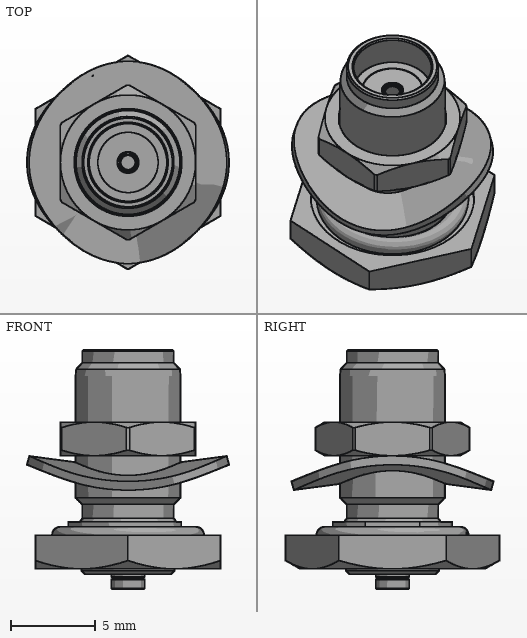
import math

import cadquery as cq

FLANGE_HALF_FLATS = 5.5
NUT_HALF_FLATS = 4.0
HEX_CHAMFER_ANGLE = 30
HEX_SIDES = 6
HEX_HALF_SECTOR = 180 / HEX_SIDES
HEX_HEIGHT = 2.0

BARREL_RADIUS = 3.12
NECK_RADIUS = 2.73
STEP_RADIUS = 3.55
BOSS_RADIUS = 2.77
PIN_RADIUS = 1.01
PIN_GROOVE_RADIUS = 0.94
BORE_RADIUS = 2.3
INSULATOR_RADIUS = 1.79
CONTACT_RADIUS = 0.64
SOCKET_RADIUS = 0.43

TOP_Z = 14.2
LIP_SHOULDER_Z = 13.42
BARREL_TOP_Z = 12.64
BARREL_BOTTOM_Z = 5.42
STEP_TOP_Z = 3.99
FLANGE_TOP_Z = 3.21
FLANGE_BOTTOM_Z = FLANGE_TOP_Z - HEX_HEIGHT
BOSS_BOTTOM_Z = 0.88
PIN_GROOVE_Z = 0.65
BORE_FLOOR_Z = 12.27

LIP_CHAMFER = 0.1
BORE_CHAMFER = 0.09
BARREL_TAPER = 0.04
SHOULDER_HEIGHT = 0.37
NECK_FLARE_WIDTH = 0.14
NECK_FLARE_HEIGHT = 0.21
BOSS_CHAMFER = 0.21
PIN_CHAMFER = 0.07
PIN_GROOVE_HALF_WIDTH = 0.04
INSULATOR_RECESS = 0.04
CONTACT_CHAMFER = 0.04
SOCKET_CHAMFER = 0.07
SOCKET_DEPTH = 1.42
STEP_FLAT_X = 3.17

SEAL_CENTRE_RADIUS = 4.02
SEAL_TUBE_RADIUS = 0.5
GROOVE_OUTER_RADIUS = 4.84
GROOVE_DEPTH = 0.47

NUT_BOTTOM_Z = 7.91
NUT_CORNER_RADIUS = 4.57
NUT_BORE_RADIUS = 3.2

WASHER_WIDTH = 12.0
WASHER_HOLE_RADIUS = 3.2
WASHER_CENTRE_Z = 6.89
WASHER_THICKNESS = 0.53
WASHER_OUTER_WAVE = 0.75
WASHER_INNER_WAVE = 0.4
WASHER_RIM_LEAN = 0.07
WASHER_OUTER_PINCH = 0.15
WASHER_INNER_PINCH = 0.09
WASHER_POINTS = 32


def turned(profile):
    """Revolve a closed profile of (radius, z) points about the Z axis."""
    return cq.Workplane("XZ").polyline(profile).close().revolve(360, (0, 0), (0, 1))


def disc(radius, bottom_z, top_z):
    """Round disc about the Z axis."""
    return cq.Workplane("XY").workplane(offset=bottom_z).circle(radius).extrude(top_z - bottom_z)


def hexagon(half_flats, bottom_z, height):
    """Hexagonal prism with flats facing +X and -X."""
    corner_diameter = 2 * half_flats / math.cos(math.radians(HEX_HALF_SECTOR))
    prism = cq.Workplane("XY").polygon(HEX_SIDES, corner_diameter).extrude(height)
    return prism.rotate((0, 0, 0), (0, 0, 1), HEX_HALF_SECTOR).translate((0, 0, bottom_z))


def chamfer_cone(half_flats, bottom_z, height, top_too, max_radius):
    """Turned envelope whose conical ends trim the corners of a hexagon."""
    rise = (max_radius - half_flats) * math.tan(math.radians(HEX_CHAMFER_ANGLE))
    top_z = bottom_z + height
    profile = [(0, bottom_z), (half_flats, bottom_z), (max_radius, bottom_z + rise)]
    if top_too:
        profile += [(max_radius, top_z - rise), (half_flats, top_z)]
    else:
        profile += [(max_radius, top_z)]
    return turned(profile + [(0, top_z)])


def make_flange():
    """Hexagonal flange, chamfered below, with a seal groove on top around a D-shaped step."""
    envelope_radius = FLANGE_HALF_FLATS / math.cos(math.radians(HEX_HALF_SECTOR))
    flange = hexagon(FLANGE_HALF_FLATS, FLANGE_BOTTOM_Z, HEX_HEIGHT)
    flange = flange.intersect(
        chamfer_cone(FLANGE_HALF_FLATS, FLANGE_BOTTOM_Z, HEX_HEIGHT, False, envelope_radius)
    )
    groove = disc(GROOVE_OUTER_RADIUS, FLANGE_TOP_Z - GROOVE_DEPTH, FLANGE_TOP_Z)
    step = disc(STEP_RADIUS, FLANGE_BOTTOM_Z, STEP_TOP_Z)
    flat_cutter = cq.Workplane("XY").box(
        STEP_RADIUS, 2 * STEP_RADIUS, STEP_TOP_Z, centered=(False, True, False)
    )
    step = step.cut(flat_cutter.translate((STEP_FLAT_X, 0, 0)))
    return flange.cut(groove).union(step)


def make_shaft():
    """Turned core from the top lip through the barrel and neck to the bottom pin."""
    return turned([
        (0, TOP_Z),
        (NECK_RADIUS - LIP_CHAMFER, TOP_Z),
        (NECK_RADIUS, TOP_Z - LIP_CHAMFER),
        (NECK_RADIUS, LIP_SHOULDER_Z),
        (BARREL_RADIUS - BARREL_TAPER, LIP_SHOULDER_Z - SHOULDER_HEIGHT),
        (BARREL_RADIUS, BARREL_TOP_Z),
        (BARREL_RADIUS, BARREL_BOTTOM_Z),
        (NECK_RADIUS, BARREL_BOTTOM_Z - (BARREL_RADIUS - NECK_RADIUS)),
        (NECK_RADIUS, STEP_TOP_Z + NECK_FLARE_HEIGHT),
        (NECK_RADIUS + NECK_FLARE_WIDTH, STEP_TOP_Z),
        (NECK_RADIUS + NECK_FLARE_WIDTH, FLANGE_BOTTOM_Z),
        (BOSS_RADIUS, FLANGE_BOTTOM_Z),
        (BOSS_RADIUS, BOSS_BOTTOM_Z + BOSS_CHAMFER),
        (BOSS_RADIUS - BOSS_CHAMFER, BOSS_BOTTOM_Z),
        (PIN_RADIUS, BOSS_BOTTOM_Z),
        (PIN_RADIUS, PIN_GROOVE_Z + 2 * PIN_GROOVE_HALF_WIDTH),
        (PIN_GROOVE_RADIUS, PIN_GROOVE_Z + PIN_GROOVE_HALF_WIDTH),
        (PIN_GROOVE_RADIUS, PIN_GROOVE_Z - PIN_GROOVE_HALF_WIDTH),
        (PIN_RADIUS, PIN_GROOVE_Z - 2 * PIN_GROOVE_HALF_WIDTH),
        (PIN_RADIUS, PIN_CHAMFER),
        (PIN_RADIUS - PIN_CHAMFER, 0),
        (0, 0),
    ])


def make_bore():
    """Space inside the barrel: open bore, recessed insulator face and contact socket."""
    face_z = BORE_FLOOR_Z - INSULATOR_RECESS
    return turned([
        (0, TOP_Z),
        (BORE_RADIUS + BORE_CHAMFER, TOP_Z),
        (BORE_RADIUS, TOP_Z - BORE_CHAMFER),
        (BORE_RADIUS, BORE_FLOOR_Z),
        (INSULATOR_RADIUS, BORE_FLOOR_Z),
        (INSULATOR_RADIUS, face_z),
        (CONTACT_RADIUS, face_z),
        (CONTACT_RADIUS - CONTACT_CHAMFER, face_z - CONTACT_CHAMFER),
        (SOCKET_RADIUS + SOCKET_CHAMFER, face_z - CONTACT_CHAMFER),
        (SOCKET_RADIUS, face_z - CONTACT_CHAMFER - SOCKET_CHAMFER),
        (SOCKET_RADIUS, face_z - SOCKET_DEPTH),
        (0, face_z - SOCKET_DEPTH),
    ])


def make_seal():
    """Round sealing ring that lies in the flange groove against the step."""
    return (
        cq.Workplane("XZ")
        .center(SEAL_CENTRE_RADIUS, FLANGE_TOP_Z)
        .circle(SEAL_TUBE_RADIUS)
        .revolve(360, (-SEAL_CENTRE_RADIUS, 0), (-SEAL_CENTRE_RADIUS, 1))
    )


def make_nut():
    """Loose hexagonal nut, chamfered on both faces, around the barrel."""
    nut = hexagon(NUT_HALF_FLATS, NUT_BOTTOM_Z, HEX_HEIGHT)
    nut = nut.intersect(chamfer_cone(NUT_HALF_FLATS, NUT_BOTTOM_Z, HEX_HEIGHT, True, NUT_CORNER_RADIUS))
    return nut.cut(disc(NUT_BORE_RADIUS, NUT_BOTTOM_Z, NUT_BOTTOM_Z + HEX_HEIGHT))


def saddle_edge(radius, lean, pinch, wave, z):
    """Closed saddle curve about Z.

    It rises by `wave` at +X and -X and dips by it at +Y and -Y. The radius shrinks by `lean`
    where it rises, grows by `lean` where it dips, and shrinks by `pinch` on the diagonals.
    """
    points = []
    for i in range(WASHER_POINTS):
        angle = 2 * math.pi * i / WASHER_POINTS
        swing = math.cos(2 * angle)
        r = radius - lean * swing - pinch * (1 - swing**2)
        points.append(cq.Vector(r * math.cos(angle), r * math.sin(angle), z + wave * swing))
    return cq.Edge.makeSpline(points, periodic=True)


def make_washer():
    """Saddle washer closed by ruled faces between its four rim curves."""
    mid_radius = WASHER_WIDTH / 2 - WASHER_RIM_LEAN
    half = WASHER_THICKNESS / 2
    z_low = WASHER_CENTRE_Z - half
    z_high = WASHER_CENTRE_Z + half
    outer_top = saddle_edge(mid_radius, WASHER_RIM_LEAN, WASHER_OUTER_PINCH, WASHER_OUTER_WAVE, z_high)
    outer_bottom = saddle_edge(mid_radius, -WASHER_RIM_LEAN, WASHER_OUTER_PINCH, WASHER_OUTER_WAVE, z_low)
    inner_top = saddle_edge(WASHER_HOLE_RADIUS, 0, WASHER_INNER_PINCH, WASHER_INNER_WAVE, z_high)
    inner_bottom = saddle_edge(WASHER_HOLE_RADIUS, 0, WASHER_INNER_PINCH, WASHER_INNER_WAVE, z_low)
    loop = [outer_top, inner_top, inner_bottom, outer_bottom, outer_top]
    faces = [cq.Face.makeRuledSurface(a, b) for a, b in zip(loop, loop[1:])]
    return cq.Workplane(obj=cq.Solid.makeSolid(cq.Shell.makeShell(faces)))


def make_connector():
    """Connector body with its seal and washer fixed on it."""
    body = make_flange().union(make_shaft()).cut(make_bore())
    return body.union(make_seal()).union(make_washer())


connector = make_connector()
nut = make_nut()
result = cq.Compound.makeCompound([connector.solids().val(), nut.solids().val()])